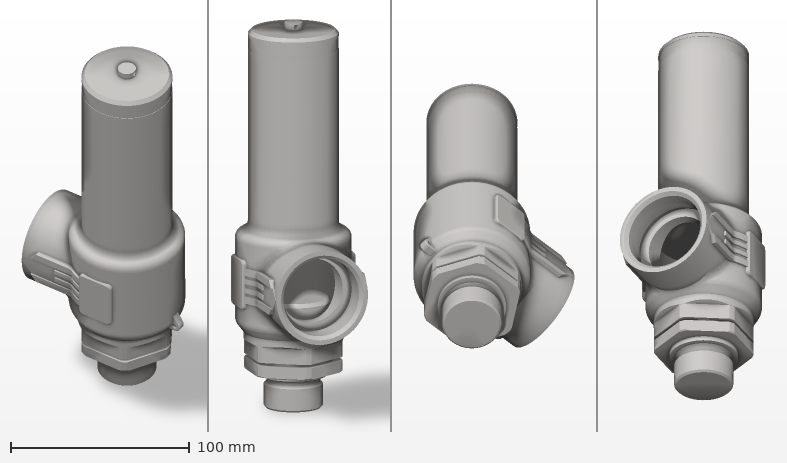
import cadquery as cq
import math


tube_radius = 25.5
barrel_radius = 32.7
collar_radius = 28.0
housing_bottom = 43.7
cone_top = 48.4
barrel_bottom = 51.7
barrel_top = 97.5
shoulder_top = 106.9
housing_top = 203.0
base_round_radius = 6.2

outlet_z = 73.7
outlet_face_x = -52.8
outlet_radius = 27.0
outlet_fillet = 4.5
thread_radius = 22.3
mouth_chamfer = 2.0
thread_length = 14.0
relief_radius = 23.5
relief_width = 3.8
passage_radius = 18.3

chamber_radius = 26.5
chamber_bottom = 55.2
chamber_top = 95.0

arrow_tip_x = -51.9
arrow_shoulder_x = -42.5
arrow_half_height = 10.0
arrow_floor_y = 27.2
arrow_floor_radius = 33.23
arrow_relief = 1.0
arrow_bend_radius = 4.5
frame_inner_z = 6.0
rib_start_x = -30.2
rib_height = 2.6
rib_offset_z = 2.6
plate_width = 21.2
plate_height = 28.7
plate_face_y = 33.45
plate_back_y = 26.5
plate_corner_radius = 2.6
plate_edge_chamfer = 0.7

lug_eye_x = 33.3
lug_eye_z = 47.7
lug_eye_radius = 3.3
lug_hole_radius = 1.5
lug_thickness = 4.9
lug_top_x = 32.5
lug_top_z = 55.2
lug_root_x = 28.5
lug_edge_fillet = 0.7

seat_radius = 21.6
seat_top = 63.1
seat_chamfer = 2.0
hex_flat_count = 6
hex_across_flats = 50.0
hex_corner_radius = 27.93
flat_top = 38.6
flat_runout = 1.3
hex_bottom = 21.2
hex_edge_chamfer = 0.7
hex_groove_bottom = 27.8
hex_groove_top = 29.8
hex_groove_radius = 23.0
sealing_collar_radius = 19.2
sealing_collar_bottom = 18.5
inlet_thread_radius = 16.5
inlet_thread_top = 13.5
inlet_thread_chamfer = 1.0
undercut_radius = 15.12
undercut_bottom = 15.2
undercut_top = 16.5
undercut_end_radius = 16.1
undercut_hollow = 0.3

cap_top = 216.8
cap_chamfer = 2.0
band_bottom = 205.5
band_top = 212.9
band_depth = 0.2

overall_height = 220.8
spindle_radius = 5.0
spindle_depth = 6.6
spindle_hole_radius = 1.3
spindle_hole_z = 219.0

SIDES = (1, -1)


def cylinder(radius, bottom, top):
    """Upright cylinder on the valve axis."""
    return cq.Workplane("XY").workplane(offset=bottom).circle(radius).extrude(top - bottom)


def outlet_cylinder(radius, start_x, end_x):
    """Cylinder on the outlet axis between two X positions."""
    plane = cq.Workplane("YZ", origin=(start_x, 0, outlet_z))
    return plane.circle(radius).extrude(end_x - start_x)


def housing_turning():
    """Barrel with rounded shoulder, base cone and spring tube, turned about Z."""
    arc_height = (shoulder_top - barrel_top) / 2
    arc_width = (barrel_radius - tube_radius) / 2
    half_angle = math.atan2(arc_width, arc_height)
    arc_radius = arc_height / math.sin(2 * half_angle)
    sag_z = arc_radius * math.sin(half_angle)
    sag_r = arc_radius * (1 - math.cos(half_angle))

    base_angle = math.asin((barrel_bottom - cone_top) / base_round_radius)
    cone_radius = barrel_radius - base_round_radius * (1 - math.cos(base_angle))
    base_mid = (
        barrel_radius - base_round_radius * (1 - math.cos(base_angle / 2)),
        barrel_bottom - base_round_radius * math.sin(base_angle / 2),
    )

    return (
        cq.Workplane("XZ")
        .moveTo(0, housing_bottom)
        .lineTo(collar_radius, housing_bottom)
        .lineTo(cone_radius, cone_top)
        .threePointArc(base_mid, (barrel_radius, barrel_bottom))
        .lineTo(barrel_radius, barrel_top)
        .threePointArc(
            (barrel_radius - sag_r, barrel_top + sag_z),
            (barrel_radius - arc_width, barrel_top + arc_height),
        )
        .threePointArc(
            (tube_radius + sag_r, shoulder_top - sag_z),
            (tube_radius, shoulder_top),
        )
        .lineTo(tube_radius, housing_top)
        .lineTo(0, housing_top)
        .close()
        .revolve(360, (0, 0, 0), (0, 1, 0))
    )


def housing_shell():
    """Turned housing joined to the outlet branch by a root rounded above the base cone."""
    turning = housing_turning()
    branch = outlet_cylinder(outlet_radius, outlet_face_x, 0)
    shell = turning.union(branch)
    root = shell.edges(
        cq.selectors.BoxSelector(
            (-barrel_radius, -barrel_radius, barrel_bottom),
            (0, barrel_radius, shoulder_top),
        )
    )
    root = root.filter(lambda edge: edge.geomType() not in ("CIRCLE", "LINE"))
    return root.fillet(outlet_fillet)


def flank_layer(side, raise_by):
    """Block whose outer face follows the branch flank, then bends round the barrel."""
    flat_y = arrow_floor_y + raise_by
    ring_radius = arrow_floor_radius + raise_by
    height = 2 * arrow_half_height
    bottom = outlet_z - arrow_half_height
    slab = cq.Workplane("XY", origin=(0, 0, bottom)).rect(2 * -arrow_tip_x, 2 * flat_y).extrude(height)
    ring = cylinder(ring_radius, bottom, bottom + height)
    layer = slab.union(ring)
    bends = layer.edges("|Z").filter(lambda edge: abs(edge.Center().x) < barrel_radius)
    layer = bends.fillet(arrow_bend_radius)
    quarter = cq.Workplane("XY").box(-arrow_tip_x, ring_radius, 2 * height, centered=False)
    quarter = quarter.translate((arrow_tip_x, 0, outlet_z - height))
    if side < 0:
        quarter = quarter.mirror("XZ")
    return layer.intersect(quarter)


def arrow_outline():
    """Arrow prism across the whole valve, pointing to -X."""
    return (
        cq.Workplane("XZ", origin=(0, 0, outlet_z))
        .moveTo(arrow_tip_x, 0)
        .lineTo(arrow_shoulder_x, arrow_half_height)
        .lineTo(0, arrow_half_height)
        .lineTo(0, -arrow_half_height)
        .lineTo(arrow_shoulder_x, -arrow_half_height)
        .close()
        .extrude(plate_face_y, both=True)
    )


def bar_across(start_x, low_z, high_z):
    """Bar through both flanks from a start position up to the valve axis."""
    bar = cq.Workplane("XY").box(-start_x, 2 * plate_face_y, high_z - low_z, centered=(False, True, False))
    return bar.translate((start_x, 0, outlet_z + low_z))


def raised_bars():
    """Two frame bars along the arrow edges and two ribs between them."""
    bars = bar_across(arrow_tip_x, frame_inner_z, arrow_half_height)
    bars = bars.union(bar_across(arrow_tip_x, -arrow_half_height, -frame_inner_z))
    for rib_z in (rib_offset_z, -rib_offset_z):
        bars = bars.union(bar_across(rib_start_x, rib_z - rib_height / 2, rib_z + rib_height / 2))
    return bars.intersect(arrow_outline())


def flow_arrow(side):
    """Recessed arrow floor with its raised frame and ribs on one flank."""
    floor = flank_layer(side, 0).intersect(arrow_outline())
    relief = flank_layer(side, arrow_relief).intersect(raised_bars())
    return floor.union(relief)


def label_plate(side):
    """Rounded rectangular plate standing on the barrel flank."""
    plate = (
        cq.Workplane("XZ", origin=(0, -plate_back_y, outlet_z))
        .rect(plate_width, plate_height)
        .extrude(plate_face_y - plate_back_y)
        .edges("|Y")
        .fillet(plate_corner_radius)
        .faces("<Y")
        .edges()
        .chamfer(plate_edge_chamfer)
    )
    if side > 0:
        plate = plate.mirror("XZ")
    return plate


def seal_lug():
    """Lug with a rounded eye for the sealing wire."""
    dx = lug_top_x - lug_eye_x
    dz = lug_top_z - lug_eye_z
    tangent_angle = math.atan2(dz, dx) - math.acos(lug_eye_radius / math.hypot(dx, dz))
    middle_angle = (tangent_angle - math.pi / 2) / 2

    def on_eye(angle):
        return (
            lug_eye_x + lug_eye_radius * math.cos(angle),
            lug_eye_z + lug_eye_radius * math.sin(angle),
        )

    lug = (
        cq.Workplane("XZ")
        .moveTo(lug_root_x, lug_eye_z - lug_eye_radius)
        .lineTo(lug_root_x, lug_top_z)
        .lineTo(lug_top_x, lug_top_z)
        .lineTo(*on_eye(tangent_angle))
        .threePointArc(on_eye(middle_angle), on_eye(-math.pi / 2))
        .close()
        .extrude(lug_thickness / 2, both=True)
        .faces("<Y or >Y")
        .edges()
        .fillet(lug_edge_fillet)
    )
    hole = (
        cq.Workplane("XZ")
        .center(lug_eye_x, lug_eye_z)
        .circle(lug_hole_radius)
        .extrude(lug_thickness, both=True)
    )
    return lug, hole


def outlet_bore():
    """Chamfered thread bore, relief groove and passage into the chamber."""
    thread_start = outlet_face_x + mouth_chamfer
    thread_end = thread_start + thread_length
    relief_end = thread_end + relief_width
    mouth = (
        cq.Workplane("YZ", origin=(outlet_face_x, 0, outlet_z))
        .circle(thread_radius + mouth_chamfer)
        .workplane(offset=mouth_chamfer)
        .circle(thread_radius)
        .loft()
    )
    bore = mouth.union(outlet_cylinder(thread_radius, thread_start, thread_end))
    bore = bore.union(outlet_cylinder(relief_radius, thread_end, relief_end))
    return bore.union(outlet_cylinder(passage_radius, relief_end, 0))


def make_housing():
    """Housing with outlet, markings, lug, chamber and nozzle bore."""
    housing = housing_shell()
    for side in SIDES:
        housing = housing.union(flow_arrow(side)).union(label_plate(side))
    lug, lug_hole = seal_lug()
    housing = housing.union(lug).cut(lug_hole)
    housing = housing.cut(outlet_bore())
    housing = housing.cut(cylinder(chamber_radius, chamber_bottom, chamber_top))
    return housing.cut(cylinder(seat_radius, housing_bottom, chamber_bottom))


def nozzle_turning():
    """Nozzle blank with seat, collar, undercut and inlet thread."""
    lower_arc_mid = (
        undercut_radius + undercut_hollow * (inlet_thread_radius - undercut_radius),
        (inlet_thread_top + undercut_bottom) / 2,
    )
    upper_arc_mid = (
        undercut_radius + undercut_hollow * (undercut_end_radius - undercut_radius),
        (undercut_top + sealing_collar_bottom) / 2,
    )
    return (
        cq.Workplane("XZ")
        .moveTo(0, 0)
        .lineTo(inlet_thread_radius - inlet_thread_chamfer, 0)
        .lineTo(inlet_thread_radius, inlet_thread_chamfer)
        .lineTo(inlet_thread_radius, inlet_thread_top)
        .threePointArc(lower_arc_mid, (undercut_radius, undercut_bottom))
        .lineTo(undercut_radius, undercut_top)
        .threePointArc(upper_arc_mid, (undercut_end_radius, sealing_collar_bottom))
        .lineTo(sealing_collar_radius, sealing_collar_bottom)
        .lineTo(sealing_collar_radius, hex_bottom)
        .lineTo(hex_corner_radius - hex_edge_chamfer, hex_bottom)
        .lineTo(hex_corner_radius, hex_bottom + hex_edge_chamfer)
        .lineTo(hex_corner_radius, hex_groove_bottom)
        .lineTo(hex_groove_radius, hex_groove_bottom)
        .lineTo(hex_groove_radius, hex_groove_top)
        .lineTo(hex_corner_radius, hex_groove_top)
        .lineTo(hex_corner_radius, flat_top)
        .lineTo(collar_radius, flat_top)
        .lineTo(collar_radius, housing_bottom)
        .lineTo(seat_radius, housing_bottom)
        .lineTo(seat_radius, seat_top - seat_chamfer)
        .lineTo(seat_radius - seat_chamfer, seat_top)
        .lineTo(0, seat_top)
        .close()
        .revolve(360, (0, 0, 0), (0, 1, 0))
    )


def flat_cutter():
    """Cutter for one hexagon flat, with a sloping run-out at its top."""
    half_flats = hex_across_flats / 2
    return (
        cq.Workplane("YZ")
        .moveTo(half_flats, hex_bottom)
        .lineTo(half_flats, flat_top)
        .lineTo(collar_radius, flat_top + flat_runout)
        .lineTo(collar_radius, hex_bottom)
        .close()
        .extrude(collar_radius, both=True)
    )


def make_nozzle():
    """Inlet nozzle with a grooved hexagon whose flats face +Y and -Y."""
    nozzle = nozzle_turning()
    for index in range(hex_flat_count):
        nozzle = nozzle.cut(flat_cutter().rotate((0, 0, 0), (0, 0, 1), index * 360 / hex_flat_count))
    return nozzle


def make_cap():
    """Chamfered cap with a shallow band and a socket for the spindle."""
    cap = cylinder(tube_radius, housing_top, cap_top).faces(">Z").edges().chamfer(cap_chamfer)
    band = cylinder(tube_radius, band_bottom, band_top)
    band = band.cut(cylinder(tube_radius - band_depth, band_bottom, band_top))
    socket = cylinder(spindle_radius, cap_top - spindle_depth, cap_top)
    return cap.cut(band).cut(socket)


def make_spindle():
    """Spindle end with a cross hole along X."""
    spindle = cylinder(spindle_radius, cap_top - spindle_depth, overall_height)
    hole = (
        cq.Workplane("YZ", origin=(0, 0, spindle_hole_z))
        .circle(spindle_hole_radius)
        .extrude(spindle_radius, both=True)
    )
    return spindle.cut(hole)


housing = make_housing()
nozzle = make_nozzle()
cap = make_cap()
spindle = make_spindle()

result = cq.Compound.makeCompound([housing.val(), nozzle.val(), cap.val(), spindle.val()])